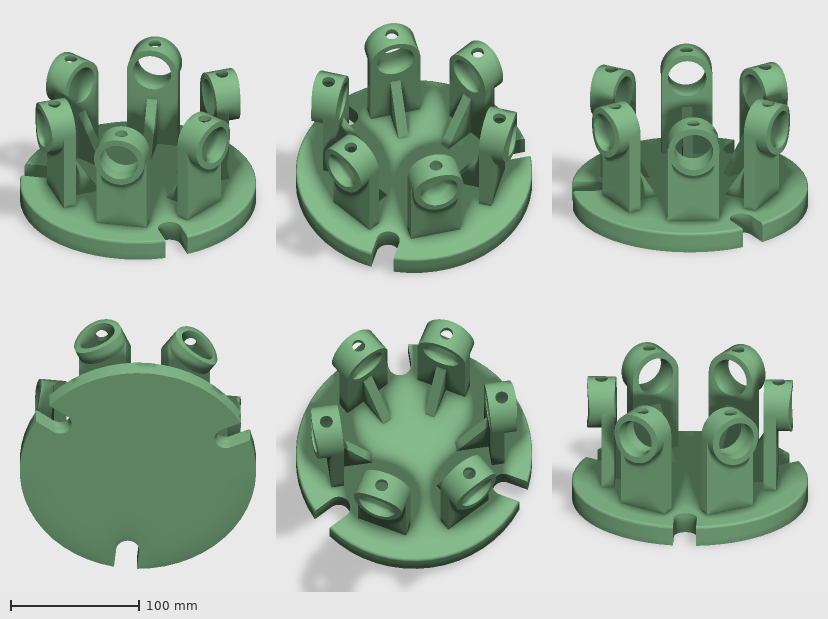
import cadquery as cq

base_radius = 92.0
base_thickness = 16.0
base_edge_fillet = 2.0
slot_count = 3
slot_width = 18.0
slot_center_radius = 75.0

holder_count = 6
first_holder_angle = 30.0
ring_outer_diameter = 40.0
ring_bore_diameter = 30.0
ring_axis_height = 80.0
holder_inner_distance = 58.0
holder_outer_radius = 80.0
plate_thickness = 10.0
screw_hole_diameter = 10.0
screw_hole_distance = (holder_inner_distance + holder_outer_radius) / 2

rib_thickness = 8.0
rib_length = 25.0
rib_height = 40.0


def rotated(shape, angle):
    """Turn a shape about the disc axis."""
    return shape.rotate((0, 0, 0), (0, 0, 1), angle)


def radial_cylinder(diameter, start, end):
    """Cylinder along +X at the height of the ring axis."""
    profile = cq.Workplane("YZ", origin=(start, 0, ring_axis_height)).circle(diameter / 2)
    return profile.extrude(end - start)


def make_slot():
    """Round-ended cutter that is open towards the +X rim."""
    straight = cq.Workplane("XY").box(
        base_radius, slot_width, base_thickness, centered=(False, True, False)
    ).translate((slot_center_radius, 0, 0))
    round_end = (
        cq.Workplane("XY").center(slot_center_radius, 0).circle(slot_width / 2).extrude(base_thickness)
    )
    return straight.union(round_end)


def make_base():
    """Disc with a rounded top rim and evenly spaced slots cut after rounding."""
    base = cq.Workplane("XY").circle(base_radius).extrude(base_thickness)
    base = base.faces(">Z").edges().fillet(base_edge_fillet)
    slot = make_slot()
    for i in range(slot_count):
        base = base.cut(rotated(slot, i * 360 / slot_count))
    return base


def make_plate():
    """Upright plate from the underside of the disc to the ring axis."""
    return cq.Workplane("XY").box(
        plate_thickness, ring_outer_diameter, ring_axis_height, centered=(False, True, False)
    ).translate((holder_inner_distance, 0, 0))


def make_rib():
    """Triangular rib, sunk to the underside of the disc so that it fuses with it."""
    rib_toe = holder_inner_distance - rib_length
    rib_back = holder_inner_distance + plate_thickness / 2
    outline = [
        (rib_toe, 0),
        (rib_toe, base_thickness),
        (holder_inner_distance, base_thickness + rib_height),
        (rib_back, base_thickness + rib_height),
        (rib_back, 0),
    ]
    return cq.Workplane("XZ").polyline(outline).close().extrude(rib_thickness / 2, both=True)


def make_holder():
    """Ring on a ribbed plate, facing +X, with a screw hole from the top into the bore."""
    ring = radial_cylinder(ring_outer_diameter, holder_inner_distance, holder_outer_radius)
    trim = cq.Workplane("XY").circle(holder_outer_radius).extrude(ring_axis_height + ring_outer_diameter)
    holder = make_plate().union(ring.intersect(trim)).union(make_rib())
    bore = radial_cylinder(ring_bore_diameter, 0, base_radius)
    screw_hole = (
        cq.Workplane("XY", origin=(screw_hole_distance, 0, ring_axis_height))
        .circle(screw_hole_diameter / 2)
        .extrude(ring_outer_diameter)
    )
    return holder.cut(bore).cut(screw_hole)


result = make_base()
holder_template = make_holder()
for i in range(holder_count):
    result = result.union(rotated(holder_template, first_holder_angle + i * 360 / holder_count))